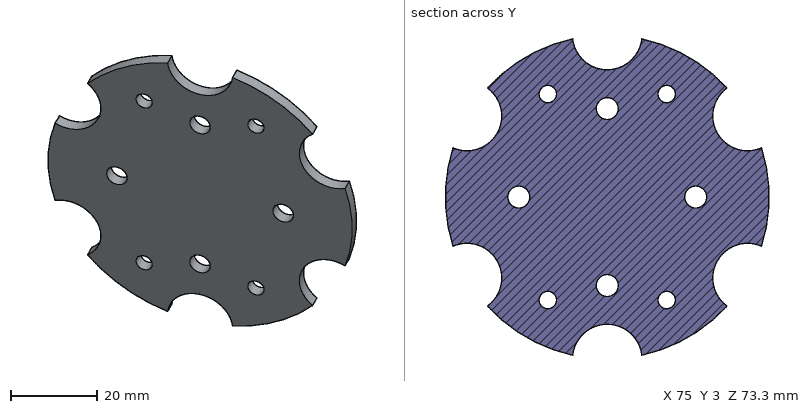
import cadquery as cq
import math

disc_diameter = 75.0
disc_radius = disc_diameter / 2
thickness = 3.0

notch_count = 6
notch_radius = 8.0

large_hole_count = 4
large_hole_diameter = 5.0
large_hole_circle_radius = 20.5

small_hole_diameter = 4.0
small_hole_circle_radius = 27.5
small_hole_angles = (60, 120, 240, 300)


def cylinders_on_circle(diameter, circle_radius, angles):
    """Cylinders as long as the disc thickness, at angles measured from +X towards +Z."""
    centres = [
        (circle_radius * math.cos(math.radians(angle)), circle_radius * math.sin(math.radians(angle)))
        for angle in angles
    ]
    return (
        cq.Workplane("XZ")
        .pushPoints(centres)
        .circle(diameter / 2)
        .extrude(thickness)
    )


def evenly_spaced_angles(count):
    """Angles in degrees around a full turn, with one pointing along +Z."""
    return [90 + index * 360 / count for index in range(count)]


disc = cq.Workplane("XZ").circle(disc_radius).extrude(thickness)
notches = cylinders_on_circle(2 * notch_radius, disc_radius, evenly_spaced_angles(notch_count))
large_holes = cylinders_on_circle(
    large_hole_diameter, large_hole_circle_radius, evenly_spaced_angles(large_hole_count)
)
small_holes = cylinders_on_circle(small_hole_diameter, small_hole_circle_radius, small_hole_angles)

result = disc.cut(notches).cut(large_holes).cut(small_holes)